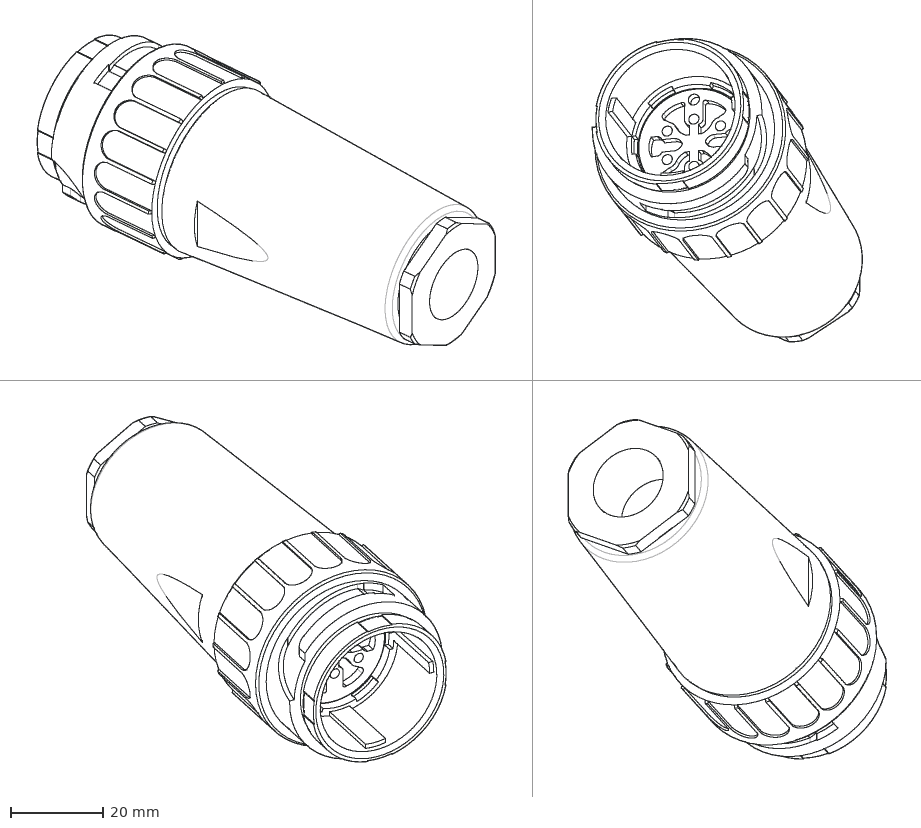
import cadquery as cq
import math

OVERCUT = 1.0

SHELL_RADIUS = 16.4
SHELL_END = 35.1
RING_RADIUS = 16.8
RING_LENGTH = 4.4
RING_GAP_WIDTH = 6.0
RING_GAP_RADIUS = 16.6
RING_GAP_COUNT = 4
SOCKET_RADIUS = 14.6
SOCKET_DEPTH = 17.5
MOUTH_RADIUS = 16.0
MOUTH_DEPTH = 0.5
RAIL_START = 1.9
RAIL_FACE_RADIUS = 13.5
BOTTOM_RAIL_Y = (-2.5, 2.5)
LEFT_RAIL_Z = (2.1, 5.2)
RIGHT_RAIL_Z = (-0.1, 2.7)
SIDE_NOTCH_WIDTH = 4.1
NOTCH_RADIUS = 13.5
ARC_NOTCH_ANGLES = (44, 71)

INSERT_RADIUS = 12.7
INSERT_START = 19.6
INSERT_END = 31.0
INSERT_CHAMFER = 0.3
CONTACT_HOLE_RADIUS = 1.1
CONTACT_HOLES = [(0, 5.5), (6.0, 3.3), (6.0, -3.3), (0, -5.5), (-6.0, -3.3), (-6.0, 3.3)]
INSERT_POCKET_DEPTH = 2.1
LOBE_OUTER_RADIUS = 10.1
SIDE_TIP = (2.6, 0)
SIDE_TIP_CURVE = [(3.0, 0.7), (4.3, 1.4)]
SIDE_NECK_END = (7.1, 1.4)
SIDE_SHOULDER_MIDDLE = (7.4, 1.9)
SIDE_SHOULDER_END = (8.2, 2.3)
SIDE_OUTER_CORNER = (9.6, 2.3)
WEB_INNER_HALF = 1.0
WEB_OUTER_HALF = 2.1
CORNER_LOBE_FOOT_Z = 2.0
CORNER_LOBE_ARC_ANGLE = 60
KEY_HOLE_RADIUS = 1.2
KEY_HOLE_Z = 10.0

SLEEVE_RADIUS = 19.1
SLEEVE_START = 6.0
SLEEVE_END = 37.3
SLOT_FLOOR_RADIUS = 18.0
DETENT_FLOOR_RADIUS = 17.4
SLOT_ENTRY_Y = 15.3
SLOT_ENTRY_Z = 0.5
SLOT_MOUTH_TOP_Z = 11.9
SLOT_CURVE_MIDDLE = (11.4, 4.1)
CHANNEL_START_FRONT = 9.5
CHANNEL_START_BACK = 13.4
CHANNEL_CORNER_X = 8.3
CHANNEL_CORNER_MIDDLE = (9.2, 14.8)
CHANNEL_CORNER_END_Y = 13.3
DETENT_FRONT = 10.1
DETENT_BACK = 15.1
CHANNEL_END_FRONT = 10.4
CHANNEL_END_BACK = 14.9
DETENT_END_Y = -9.5
RAMP_TOP = (-3.0, 17.8)
RAMP_FOOT = (-4.5, 16.8)

NUT_RADIUS = 21.5
NUT_START = 16.2
NUT_END = 35.7
NUT_CHAMFER = 0.5
GRIP_COUNT = 18
GRIP_FLOOR_RADIUS = 21.0
GRIP_RIB_WIDTH = 0.9
GRIP_START = 19.8
GRIP_ROUND_LENGTH = 2.8

BACK_START_RADIUS = 19.4
BACK_END_RADIUS = 16.3
BACK_END = 98.5
BACK_FILLET = 1.1
BACK_FLAT_START = 46.0
BACK_FLAT_DISTANCE = 18.0

SHANK_RADIUS = 13.3
SHANK_START = 87.7
HEX_START = 99.6
HEX_END = 103.2
HEX_FLATS = 28.4
HEX_CORNER_RADIUS = 15.6
HEX_CHAMFER = 0.5
CABLE_RADIUS = 8.3


def cylinder(radius, start, end):
    """Solid cylinder on the X axis between two X positions."""
    return cq.Workplane("YZ", origin=(start, 0, 0)).circle(radius).extrude(end - start)


def tube(outer, inner, start, end):
    return cylinder(outer, start, end).cut(cylinder(inner, start, end))


def block(x_range, y_range, z_range):
    """Box given by its limits on each axis."""
    sizes = [high - low for low, high in (x_range, y_range, z_range)]
    corner = (x_range[0], y_range[0], z_range[0])
    return cq.Workplane("XY").box(*sizes, centered=False).translate(corner)


def turned(shape, angle):
    return shape.rotate((0, 0, 0), (1, 0, 0), angle)


def mouth_ring():
    """Raised ring at the mating end, lowered by four shallow gaps."""
    ring = tube(RING_RADIUS, SHELL_RADIUS, 0, RING_LENGTH)
    half_gap = RING_GAP_WIDTH / 2
    gap = block((0, RING_LENGTH), (-half_gap, half_gap), (0, RING_RADIUS + OVERCUT))
    gap = gap.cut(cylinder(RING_GAP_RADIUS, 0, RING_LENGTH))
    for index in range(RING_GAP_COUNT):
        ring = ring.cut(turned(gap, index * 360 / RING_GAP_COUNT))
    return ring


def socket_rails():
    """Three lengthwise coding rails on the socket wall."""
    length = (RAIL_START, SOCKET_DEPTH)
    wall = (RAIL_FACE_RADIUS - OVERCUT, SOCKET_RADIUS + OVERCUT)
    opposite_wall = (-wall[1], -wall[0])
    rails = block(length, BOTTOM_RAIL_Y, opposite_wall)
    rails = rails.union(block(length, wall, LEFT_RAIL_Z))
    rails = rails.union(block(length, opposite_wall, RIGHT_RAIL_Z))
    return rails.intersect(tube(SHELL_RADIUS, RAIL_FACE_RADIUS, *length))


def floor_notches():
    """Notches round the opening in the socket floor: two at the sides and four arcs."""
    reach = NOTCH_RADIUS + OVERCUT
    half = SIDE_NOTCH_WIDTH / 2
    depth = (SOCKET_DEPTH, INSERT_START)
    notches = block(depth, (-reach, reach), (-half, half))
    first, last = (math.radians(angle) for angle in ARC_NOTCH_ANGLES)
    wedge = (
        cq.Workplane("YZ", origin=(SOCKET_DEPTH, 0, 0))
        .lineTo(reach * math.cos(first), reach * math.sin(first))
        .lineTo(reach * math.cos(last), reach * math.sin(last))
        .close()
        .extrude(INSERT_START - SOCKET_DEPTH)
    )
    for wedges in (wedge, wedge.mirror("XZ")):
        notches = notches.union(wedges).union(wedges.mirror("XY"))
    return notches.intersect(cylinder(NOTCH_RADIUS, *depth))


def make_front_shell():
    shell = cylinder(SHELL_RADIUS, 0, SHELL_END).union(mouth_ring())
    shell = shell.cut(cylinder(SOCKET_RADIUS, 0, SOCKET_DEPTH))
    shell = shell.cut(cylinder(INSERT_RADIUS, SOCKET_DEPTH, SHELL_END))
    mouth_cone = cq.Workplane(
        cq.Solid.makeCone(
            MOUTH_RADIUS, SOCKET_RADIUS, MOUTH_DEPTH, cq.Vector(0, 0, 0), cq.Vector(1, 0, 0)
        )
    )
    return shell.cut(mouth_cone).union(socket_rails()).cut(floor_notches())


def below(point):
    """Mirror image of a YZ point in the Y axis."""
    return (point[0], -point[1])


def side_lobe(plane):
    """Pocket that lies between the contact holes on the +Y side."""
    tip_curve_back = [below(SIDE_TIP_CURVE[0]), SIDE_TIP]
    return (
        plane.moveTo(*SIDE_TIP)
        .spline(SIDE_TIP_CURVE, includeCurrent=True)
        .lineTo(*SIDE_NECK_END)
        .threePointArc(SIDE_SHOULDER_MIDDLE, SIDE_SHOULDER_END)
        .lineTo(*SIDE_OUTER_CORNER)
        .threePointArc((LOBE_OUTER_RADIUS, 0), below(SIDE_OUTER_CORNER))
        .lineTo(*below(SIDE_SHOULDER_END))
        .threePointArc(below(SIDE_SHOULDER_MIDDLE), below(SIDE_NECK_END))
        .lineTo(*below(SIDE_TIP_CURVE[1]))
        .spline(tip_curve_back, includeCurrent=True)
        .close()
        .extrude(INSERT_POCKET_DEPTH)
    )


def corner_lobe(plane):
    """Pocket between the top contact hole and its neighbour on the +Y side."""
    angle = math.radians(CORNER_LOBE_ARC_ANGLE)
    arc_middle = (LOBE_OUTER_RADIUS * math.cos(angle), LOBE_OUTER_RADIUS * math.sin(angle))
    return (
        plane.moveTo(WEB_INNER_HALF, CORNER_LOBE_FOOT_Z)
        .lineTo(WEB_INNER_HALF, 4.1)
        .threePointArc((1.8, 4.5), (WEB_OUTER_HALF, 5.2))
        .lineTo(WEB_OUTER_HALF, 9.1)
        .threePointArc((2.3, 9.5), (2.9, 9.5))
        .threePointArc(arc_middle, (6.8, 7.4))
        .threePointArc((7.1, 6.7), (6.6, 6.0))
        .lineTo(5.5, 5.3)
        .threePointArc((4.4, 4.6), (3.9, 3.8))
        .threePointArc((3.0, 2.7), (1.9, CORNER_LOBE_FOOT_Z))
        .close()
        .extrude(INSERT_POCKET_DEPTH)
    )


def make_insert():
    insert = cylinder(INSERT_RADIUS, INSERT_START, INSERT_END).faces("<X").chamfer(INSERT_CHAMFER)
    face = cq.Workplane("YZ", origin=(INSERT_START, 0, 0))
    holes = face.pushPoints(CONTACT_HOLES).circle(CONTACT_HOLE_RADIUS).extrude(INSERT_END - INSERT_START)
    key_hole = face.center(0, KEY_HOLE_Z).circle(KEY_HOLE_RADIUS).extrude(INSERT_POCKET_DEPTH)
    insert = insert.cut(holes).cut(key_hole)
    side, corner = side_lobe(face), corner_lobe(face)
    for lobe in (side, corner, corner.mirror("XY")):
        insert = insert.cut(lobe).cut(lobe.mirror("XZ"))
    return insert


def bayonet_slot():
    """One locking slot: an axial mouth, a slanting channel, and a ramp down to a deeper detent."""
    reach = SLEEVE_RADIUS + OVERCUT
    mouth = (
        cq.Workplane("XZ", origin=(0, SLOT_ENTRY_Y, 0))
        .moveTo(SLEEVE_START, SLOT_ENTRY_Z)
        .threePointArc(SLOT_CURVE_MIDDLE, (CHANNEL_START_BACK, SLOT_MOUTH_TOP_Z))
        .lineTo(SLEEVE_START, SLOT_MOUTH_TOP_Z)
        .close()
        .extrude(SLOT_ENTRY_Y - reach)
    )
    channel = (
        cq.Workplane("XY")
        .moveTo(CHANNEL_CORNER_X, SLOT_ENTRY_Y)
        .threePointArc(CHANNEL_CORNER_MIDDLE, (CHANNEL_START_FRONT, CHANNEL_CORNER_END_Y))
        .lineTo(CHANNEL_END_FRONT, RAMP_TOP[0])
        .lineTo(CHANNEL_END_BACK, RAMP_TOP[0])
        .lineTo(CHANNEL_START_BACK, SLOT_ENTRY_Y)
        .close()
        .extrude(reach)
    )
    detent = block((DETENT_FRONT, DETENT_BACK), (DETENT_END_Y, RAMP_FOOT[0]), (0, reach))
    slot = mouth.union(channel).cut(cylinder(SLOT_FLOOR_RADIUS, 0, SLEEVE_END))
    ramp = (
        cq.Workplane("YZ", origin=(CHANNEL_END_FRONT, 0, 0))
        .polyline([RAMP_TOP, RAMP_FOOT, (RAMP_FOOT[0], reach), (RAMP_TOP[0], reach)])
        .close()
        .extrude(CHANNEL_END_BACK - CHANNEL_END_FRONT)
    )
    detent = detent.cut(cylinder(DETENT_FLOOR_RADIUS, 0, SLEEVE_END))
    return slot.union(ramp).union(detent)


def make_bayonet_sleeve():
    sleeve = tube(SLEEVE_RADIUS, SHELL_RADIUS, SLEEVE_START, SLEEVE_END)
    slot = bayonet_slot()
    for angle in (0, 180):
        sleeve = sleeve.cut(turned(slot, angle))
    return sleeve


def grip_recess():
    """Shallow grip recess at +Z with a rounded front end, open at the back of the nut."""
    pitch = 2 * math.pi * NUT_RADIUS / GRIP_COUNT
    half_width = (pitch - GRIP_RIB_WIDTH) / 2
    back = NUT_END + OVERCUT
    round_end = GRIP_START + GRIP_ROUND_LENGTH
    recess = (
        cq.Workplane("XY")
        .moveTo(back, -half_width)
        .lineTo(round_end, -half_width)
        .threePointArc((GRIP_START, 0), (round_end, half_width))
        .lineTo(back, half_width)
        .close()
        .extrude(NUT_RADIUS + OVERCUT)
    )
    return recess.cut(cylinder(GRIP_FLOOR_RADIUS, 0, back))


def make_coupling_nut():
    nut = cylinder(NUT_RADIUS, NUT_START, NUT_END).faces("<X or >X").chamfer(NUT_CHAMFER)
    recess = grip_recess()
    for index in range(GRIP_COUNT):
        nut = nut.cut(turned(recess, index * 360 / GRIP_COUNT))
    return nut.cut(cylinder(SLEEVE_RADIUS, NUT_START, NUT_END))


def make_back_shell():
    """Tapered shell with a flat on each side."""
    shell = (
        cq.Workplane("XY")
        .moveTo(SLEEVE_END, 0)
        .lineTo(SLEEVE_END, BACK_START_RADIUS)
        .lineTo(BACK_END, BACK_END_RADIUS)
        .lineTo(BACK_END, 0)
        .close()
        .revolve(360, (0, 0, 0), (1, 0, 0))
        .faces(">X")
        .edges()
        .fillet(BACK_FILLET)
    )
    reach = BACK_START_RADIUS + OVERCUT
    flat = block((BACK_FLAT_START, BACK_END), (BACK_FLAT_DISTANCE, reach), (-reach, reach))
    shell = shell.cut(flat).cut(flat.mirror("XZ"))
    return shell.cut(cylinder(SHANK_RADIUS, SLEEVE_END, BACK_END))


def make_gland_nut():
    """Hexagon with trimmed corners on a round shank."""
    hexagon = (
        cq.Workplane("YZ", origin=(HEX_START, 0, 0))
        .polygon(6, HEX_FLATS / math.cos(math.pi / 6))
        .extrude(HEX_END - HEX_START)
    )
    hexagon = turned(hexagon, 90)
    trim = cylinder(HEX_CORNER_RADIUS, HEX_START, HEX_END).faces(">X").chamfer(HEX_CHAMFER)
    nut = hexagon.intersect(trim).union(cylinder(SHANK_RADIUS, SHANK_START, HEX_START))
    return nut.cut(cylinder(CABLE_RADIUS, SHANK_START, HEX_END))


front_shell = make_front_shell()
insert = make_insert()
bayonet_sleeve = make_bayonet_sleeve()
coupling_nut = make_coupling_nut()
back_shell = make_back_shell()
gland_nut = make_gland_nut()

bodies = [front_shell, insert, bayonet_sleeve, coupling_nut, back_shell, gland_nut]
result = cq.Compound.makeCompound([body.solids().val() for body in bodies])